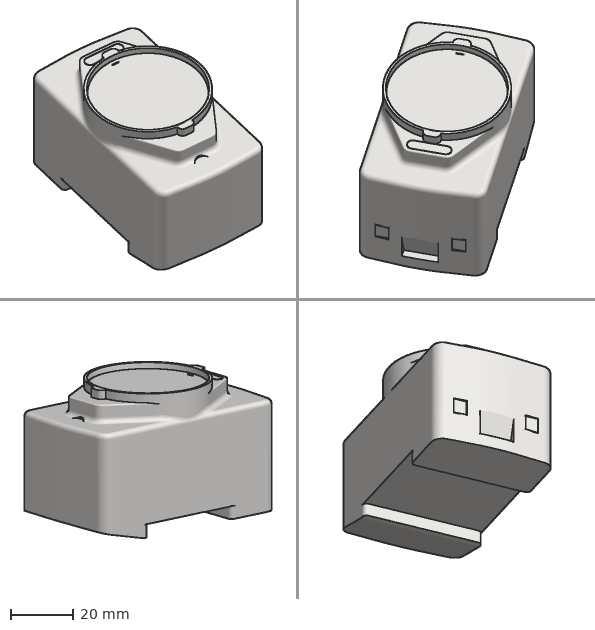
import cadquery as cq
import math

length = 75.0
width = 42.0
body_height = 36.8
total_height = 45.8
end_flat = 2.1
end_bend_y = 8.8
end_bend_setback = 0.4
corner_y = 17.3
corner_setback = 1.05
corner_radius = 3.75
top_edge_radius = 1.7

notch_x_min = -17.2
notch_x_max = 17.6
notch_height = 4.4
notch_mouth_radius = 1.5
slant_start_x = 19.8

boss_height = 42.8
boss_radius = 20.6
boss_half_length = 27.7
boss_side_angle = 31.0
boss_corner_radius = 3.0
boss_top_radius = 0.45
boss_foot_radius = 1.9

ring_radius = boss_radius
ring_bore_radius = 19.65
ring_floor_radius = 19.4
ring_floor_height = 43.8
ear_reach = 22.5
ear_width = 5.85
ear_corner_radius = 1.8
floor_mark_x = 17.9
floor_mark_length = 2.4
floor_mark_width = 0.15
floor_mark_depth = 0.2

label_x = -24.45
label_width = 3.75
label_length = 14.6
label_corner_radius = 1.8
label_depth = 0.15
foot_notch_x = 31.3
foot_notch_radius = 3.15

window_width = 12.0
window_bottom = 4.4
window_top = 13.4
window_depth = 2.85
square_y = 12.7
square_width = 4.6
square_bottom = 10.5
square_height = 5.25
square_floor_x = -36.4


def make_housing():
    """Block with bowed ends, rounded vertical corners and a rounded top edge."""
    half_length = length / 2
    half_width = width / 2
    flat = (half_length, end_flat / 2)
    bend = (half_length - end_bend_setback, end_bend_y)
    corner = (half_length - corner_setback, corner_y)
    side = (half_length - corner_setback - corner_radius, half_width)
    quarter = (
        cq.Workplane("XY")
        .moveTo(0, 0)
        .lineTo(half_length, 0)
        .lineTo(*flat)
        .tangentArcPoint(bend, relative=False)
        .lineTo(*corner)
        .tangentArcPoint(side, relative=False)
        .lineTo(0, half_width)
        .close()
        .extrude(body_height)
    )
    half = quarter.union(quarter.mirror("XZ"))
    block = half.union(half.mirror("YZ")).clean()
    return block.faces(">Z").edges().fillet(top_edge_radius)


def make_boss():
    """Round boss whose tangent walls run out to a rounded flat at each end."""
    angle = math.radians(boss_side_angle)
    tangent_x = boss_radius * math.sin(angle)
    tangent_y = boss_radius * math.cos(angle)
    end_y = tangent_y - (boss_half_length - tangent_x) * math.tan(angle)
    hexagon = [
        (tangent_x, tangent_y),
        (boss_half_length, end_y),
        (boss_half_length, -end_y),
        (tangent_x, -tangent_y),
        (-tangent_x, -tangent_y),
        (-boss_half_length, -end_y),
        (-boss_half_length, end_y),
        (-tangent_x, tangent_y),
    ]
    wings = (
        cq.Workplane("XY")
        .polyline(hexagon)
        .close()
        .extrude(boss_height)
        .edges("|Z and (>X or <X)")
        .fillet(boss_corner_radius)
    )
    drum = cq.Workplane("XY").circle(boss_radius).extrude(boss_height)
    boss = wings.union(drum).clean()
    return boss.faces(">Z").edges().fillet(boss_top_radius)


def fillet_boss_foot(body):
    """Blend the foot of the boss into the top and the rounded edge of the housing."""
    margin = 0.1
    reach_x = boss_half_length + margin
    reach_y = boss_radius + margin
    foot_region = cq.selectors.BoxSelector(
        (-reach_x, -reach_y, body_height - top_edge_radius),
        (reach_x, reach_y, body_height + margin),
        boundingbox=True,
    )
    return body.edges(foot_region).fillet(boss_foot_radius)


def make_ring():
    """Round drum on top of the boss with a rounded ear at each end."""
    base = boss_height - boss_top_radius
    rim = cq.Workplane("XY").workplane(offset=base).circle(ring_radius).extrude(total_height - base)
    ears = (
        cq.Workplane("XY")
        .workplane(offset=base)
        .rect(2 * ear_reach, ear_width)
        .extrude(total_height - base)
        .edges("|Z")
        .fillet(ear_corner_radius)
    )
    return rim.union(ears)


def make_ring_bore():
    """Shallow tapered bore of the ring."""
    return (
        cq.Workplane("XY")
        .workplane(offset=ring_floor_height)
        .circle(ring_floor_radius)
        .workplane(offset=total_height - ring_floor_height)
        .circle(ring_bore_radius)
        .loft(ruled=True)
    )


def make_floor_marks():
    """Two thin grooves in the floor of the ring."""
    return (
        cq.Workplane("XY")
        .workplane(offset=ring_floor_height - floor_mark_depth)
        .pushPoints([(-floor_mark_x, 0), (floor_mark_x, 0)])
        .rect(floor_mark_width, floor_mark_length)
        .extrude(floor_mark_depth)
    )


def make_label_recess():
    """Shallow rounded recess in the top of the boss."""
    return (
        cq.Workplane("XY")
        .workplane(offset=boss_height - label_depth)
        .center(label_x, 0)
        .rect(label_width, label_length)
        .extrude(label_depth)
        .edges("|Z")
        .fillet(label_corner_radius)
    )


def make_foot_notch():
    """Round scoop in the foot of the boss at its +X end."""
    return (
        cq.Workplane("XY")
        .workplane(offset=body_height)
        .center(foot_notch_x, 0)
        .circle(foot_notch_radius)
        .extrude(boss_foot_radius)
    )


def make_rail_notch():
    """Slot across the underside, its mouth corners rounded at both sides."""
    half_width = width / 2
    radius = notch_mouth_radius
    straight_y = half_width - radius
    return (
        cq.Workplane("XY")
        .moveTo(notch_x_min - radius, -half_width)
        .lineTo(notch_x_max + radius, -half_width)
        .radiusArc((notch_x_max, -straight_y), radius)
        .lineTo(notch_x_max, straight_y)
        .radiusArc((notch_x_max + radius, half_width), radius)
        .lineTo(notch_x_min - radius, half_width)
        .radiusArc((notch_x_min, straight_y), radius)
        .lineTo(notch_x_min, -straight_y)
        .radiusArc((notch_x_min - radius, -half_width), radius)
        .close()
        .extrude(notch_height)
    )


def make_slant():
    """Wedge that slants the underside up to the +X end."""
    return (
        cq.Workplane("XZ")
        .polyline([(slant_start_x, 0), (length / 2, 0), (length / 2, notch_height)])
        .close()
        .extrude(width / 2, both=True)
    )


def make_end_window():
    """Pocket in the -X end with a flat floor and a back that slopes out to its top."""
    outer_x = -length / 2
    return (
        cq.Workplane("XZ")
        .polyline([
            (outer_x, window_bottom),
            (outer_x + window_depth, window_bottom),
            (outer_x, window_top),
        ])
        .close()
        .extrude(window_width / 2, both=True)
    )


def make_end_squares():
    """Two shallow flat-bottomed recesses beside the window."""
    depth = length / 2 + square_floor_x
    return (
        cq.Workplane("XY")
        .workplane(offset=square_bottom)
        .pushPoints([(square_floor_x - depth / 2, y) for y in (-square_y, square_y)])
        .rect(depth, square_width)
        .extrude(square_height)
    )


body = fillet_boss_foot(make_housing().union(make_boss()))
body = body.union(make_ring())
cutters = [
    make_ring_bore(),
    make_floor_marks(),
    make_label_recess(),
    make_foot_notch(),
    make_rail_notch(),
    make_slant(),
    make_end_window(),
    make_end_squares(),
]
for cutter in cutters:
    body = body.cut(cutter)

result = body